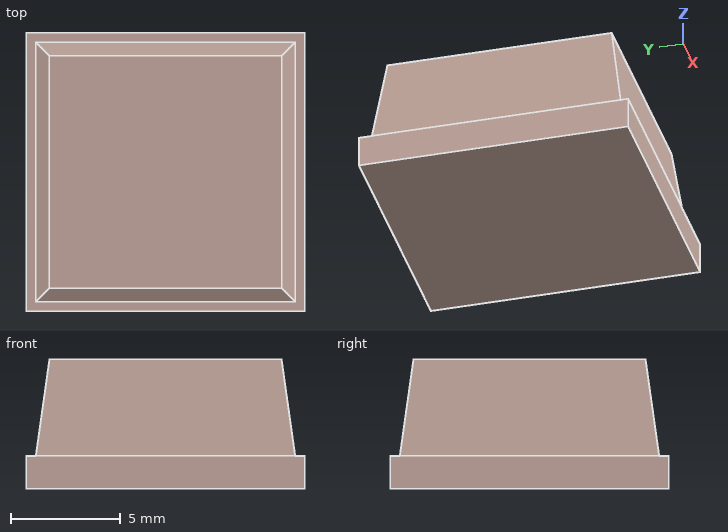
import cadquery as cq

total_height = 5.9
base_side = 12.7
base_height = 1.5

cap_bottom_side = 11.82
cap_top_side = 10.58
cap_height = total_height - base_height


def make_base():
    """Square base plate, with its underside on Z = 0."""
    return cq.Workplane("XY").rect(base_side, base_side).extrude(base_height)


def make_cap():
    """Cap that stands on the base plate and narrows evenly towards its flat top."""
    return (
        cq.Workplane("XY", origin=(0, 0, base_height))
        .rect(cap_bottom_side, cap_bottom_side)
        .workplane(offset=cap_height)
        .rect(cap_top_side, cap_top_side)
        .loft(ruled=True, combine=True)
    )


base = make_base()
cap = make_cap()

result = cq.Compound.makeCompound([base.val(), cap.val()])